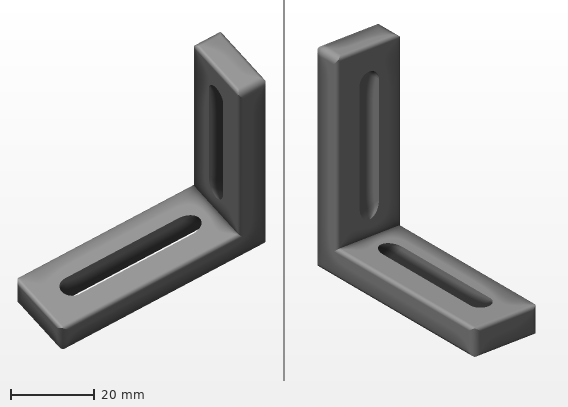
import cadquery as cq
import math

leg_length = 60.0
width = leg_length / 3
thickness = leg_length * 2 / 15
edge_radius = 1.0
corner_radius = 2.0

slot_width = 6.0
slot_outer_margin = 6.95
slot_inner_margin = 12.7


def rounded_leg():
    """Upright leg with its outer face at Y = 0, standing on Z = 0.

    Each direction is rounded on its own block, so that the rounds meet in mitres.
    """
    block = cq.Workplane("XY").box(width, thickness, leg_length, centered=(True, False, False))
    block = block.translate((0, -thickness, 0))
    long_edges = block.edges("|Z").fillet(edge_radius)
    end_edges = block.edges("|X").edges(">Z").fillet(edge_radius)
    end_corners = block.edges("|Y").edges(">Z").fillet(corner_radius)
    return long_edges.intersect(end_edges).intersect(end_corners)


def mitre_wedge():
    """Prism above the 45 degree plane through the bend."""
    outline = [(0, 0), (-leg_length, leg_length), (0, leg_length)]
    return cq.Workplane("YZ").polyline(outline).close().extrude(width / 2, both=True)


def bend_block():
    """Block around both legs that rounds the outer edge of the bend."""
    block = cq.Workplane("XY").box(width, leg_length, leg_length, centered=(True, False, False))
    block = block.translate((0, -leg_length, 0))
    return block.edges("|X").edges(">Y").edges("<Z").fillet(corner_radius)


def slot():
    """Slot cutter for the upright leg: a square-on slot trimmed by one parallel to the mitre."""
    outer_center = leg_length - slot_outer_margin - slot_width / 2
    square_slot = (
        cq.Workplane("XZ")
        .center(0, outer_center / 2)
        .slot2D(outer_center + slot_width, slot_width, 90)
        .extrude(thickness)
    )

    ellipse_reach = slot_width / 2 * math.sqrt(2)
    inner_center = (0, -thickness, slot_inner_margin + ellipse_reach)
    sloped_plane = cq.Plane(origin=inner_center, xDir=(0, 1, 1), normal=(0, 1, -1))
    sloped_slot = (
        cq.Workplane(sloped_plane)
        .center(leg_length / 2, 0)
        .slot2D(leg_length + slot_width, slot_width)
        .extrude(leg_length, both=True)
    )
    return square_slot.intersect(sloped_slot)


upright = rounded_leg().intersect(mitre_wedge()).cut(slot())
lying = upright.rotate((0, 0, 0), (1, 0, 0), 90).mirror("XY")
result = upright.union(lying).intersect(bend_block())